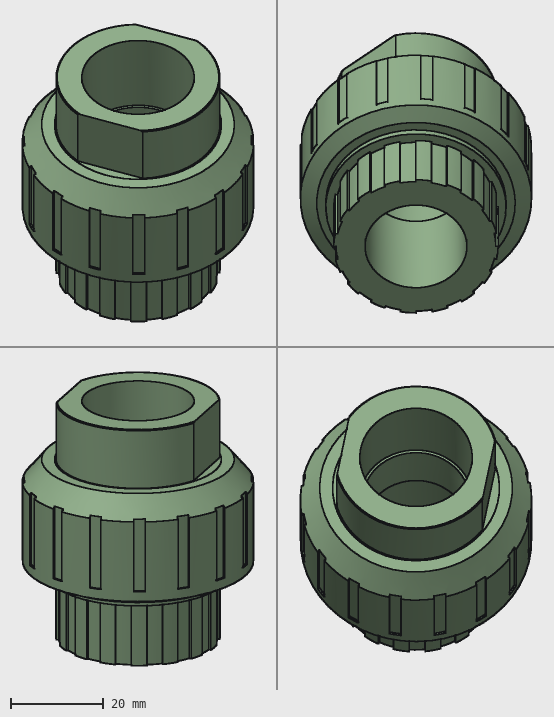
import cadquery as cq

TOTAL_HEIGHT = 54.5
COLLAR_BOTTOM = 14.5
NUT_BOTTOM = 16.0
NUT_TOP = 41.0
NUT_LOWER_CHAMFER_HEIGHT = 1.6
NUT_UPPER_CHAMFER_HEIGHT = 5.0
LIP_THICKNESS = NUT_UPPER_CHAMFER_HEIGHT
LIP_BOTTOM = NUT_TOP - LIP_THICKNESS
JOINT_HEIGHT = 24.5

NUT_DIAMETER = 50.0
NUT_TOP_DIAMETER = 41.65
NUT_BOTTOM_DIAMETER = 42.9
NUT_LIP_BORE = 36.1
NUT_BORE = 38.95
GROOVE_COUNT = 16
GROOVE_WIDTH = 2.55
GROOVE_DEPTH = 0.45
GROOVE_BOTTOM = 19.9

NECK_DIAMETER = 36.0
HEAD_DIAMETER = 35.4
HEAD_RIM_DIAMETER = 35.0
HEAD_CHAMFER_HEIGHT = 0.2
WIDTH_ACROSS_FLATS = 32.0
SOCKET_DIAMETER = 24.3
SOCKET_FLOOR = LIP_BOTTOM
TAPER_TOP_DIAMETER = 23.0

FLOW_BORE = 22.0
SPIGOT_DIAMETER = 35.5
SPIGOT_CORE_DIAMETER = 34.5
RIB_COUNT = 16
RIB_WIDTH = 3.45


def disc(diameter, bottom, top):
    """Solid cylinder on the Z axis between two heights."""
    return cq.Workplane("XY").workplane(offset=bottom).circle(diameter / 2).extrude(top - bottom)


def cone(bottom_diameter, top_diameter, bottom, top):
    """Solid frustum on the Z axis between two heights."""
    return cq.Workplane(cq.Solid.makeCone(
        bottom_diameter / 2, top_diameter / 2, top - bottom, pnt=cq.Vector(0, 0, bottom)))


def radial_bars(count, width, bottom, top):
    """Evenly spaced bars running outward from the axis past the nut, joined at the axis."""
    bars = cq.Workplane("XY")
    for index in range(count):
        bar = cq.Workplane("XY").box(NUT_DIAMETER, width, top - bottom, centered=(False, True, False))
        bar = bar.translate((0, 0, bottom)).rotate((0, 0, 0), (0, 0, 1), index * 360 / count)
        bars = bars.add(bar)
    return bars.combine()


def make_nut():
    lower_edge = NUT_BOTTOM + NUT_LOWER_CHAMFER_HEIGHT
    upper_edge = NUT_TOP - NUT_UPPER_CHAMFER_HEIGHT
    body = (
        cone(NUT_BOTTOM_DIAMETER, NUT_DIAMETER, NUT_BOTTOM, lower_edge)
        .union(disc(NUT_DIAMETER, lower_edge, upper_edge))
        .union(cone(NUT_DIAMETER, NUT_TOP_DIAMETER, upper_edge, NUT_TOP))
    )

    groove_floor_diameter = NUT_DIAMETER - 2 * GROOVE_DEPTH
    grooves = radial_bars(GROOVE_COUNT, GROOVE_WIDTH, GROOVE_BOTTOM, NUT_TOP)
    grooves = grooves.cut(disc(groove_floor_diameter, GROOVE_BOTTOM, NUT_TOP))
    body = body.cut(grooves)

    return body.cut(disc(NUT_BORE, NUT_BOTTOM, LIP_BOTTOM)).cut(disc(NUT_LIP_BORE, LIP_BOTTOM, NUT_TOP))


def make_upper_end():
    chamfer_bottom = TOTAL_HEIGHT - HEAD_CHAMFER_HEIGHT
    head = disc(HEAD_DIAMETER, NUT_TOP, chamfer_bottom)
    head = head.union(cone(HEAD_DIAMETER, HEAD_RIM_DIAMETER, chamfer_bottom, TOTAL_HEIGHT))
    flats = cq.Workplane("XY").box(
        HEAD_DIAMETER, WIDTH_ACROSS_FLATS, TOTAL_HEIGHT, centered=(True, True, False))
    head = head.intersect(flats)

    neck = disc(NECK_DIAMETER, LIP_BOTTOM, NUT_TOP)
    flange = disc(NUT_BORE, JOINT_HEIGHT, LIP_BOTTOM)
    body = head.union(neck).union(flange)

    socket = disc(SOCKET_DIAMETER, SOCKET_FLOOR, TOTAL_HEIGHT)
    taper = cone(FLOW_BORE, TAPER_TOP_DIAMETER, JOINT_HEIGHT, SOCKET_FLOOR)
    return body.cut(socket).cut(taper)


def make_lower_end():
    collar = disc(NUT_BORE, COLLAR_BOTTOM, JOINT_HEIGHT)
    core = disc(SPIGOT_CORE_DIAMETER, 0, COLLAR_BOTTOM)
    ribs = disc(SPIGOT_DIAMETER, 0, COLLAR_BOTTOM).intersect(
        radial_bars(RIB_COUNT, RIB_WIDTH, 0, COLLAR_BOTTOM))
    return core.union(ribs).union(collar).cut(disc(FLOW_BORE, 0, JOINT_HEIGHT))


nut = make_nut()
upper_end = make_upper_end()
lower_end = make_lower_end()

result = cq.Compound.makeCompound([nut.val(), upper_end.val(), lower_end.val()])